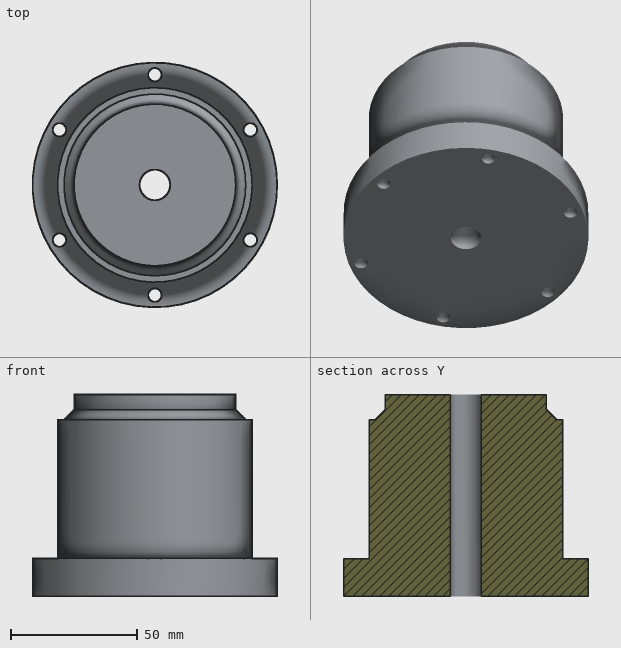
import cadquery as cq

flange_top = 15.0
body_top = 70.0
cone_height = 4.0
total_height = 80.0

flange_diameter = 97.0
body_diameter = 77.0
cap_diameter = 64.0
cone_base_diameter = cap_diameter + 2 * cone_height
bore_diameter = 12.0

bolt_hole_count = 6
bolt_hole_diameter = 5.2
bolt_circle_diameter = 87.3
first_bolt_angle = 90.0


def make_turned_body():
    """Revolve the half section of flange, body, cone and cap about Z."""
    cone_top = body_top + cone_height
    half_section = (
        cq.Workplane("XZ")
        .lineTo(flange_diameter / 2, 0)
        .lineTo(flange_diameter / 2, flange_top)
        .lineTo(body_diameter / 2, flange_top)
        .lineTo(body_diameter / 2, body_top)
        .lineTo(cone_base_diameter / 2, body_top)
        .lineTo(cap_diameter / 2, cone_top)
        .lineTo(cap_diameter / 2, total_height)
        .lineTo(0, total_height)
        .close()
    )
    return half_section.revolve(360, (0, 0, 0), (0, 1, 0))


def make_bore():
    """Central bore through the full height."""
    return cq.Workplane("XY").circle(bore_diameter / 2).extrude(total_height)


def make_bolt_holes():
    """Ring of mounting holes through the flange."""
    return (
        cq.Workplane("XY")
        .polarArray(bolt_circle_diameter / 2, first_bolt_angle, 360, bolt_hole_count)
        .circle(bolt_hole_diameter / 2)
        .extrude(flange_top)
    )


result = make_turned_body().cut(make_bore()).cut(make_bolt_holes())